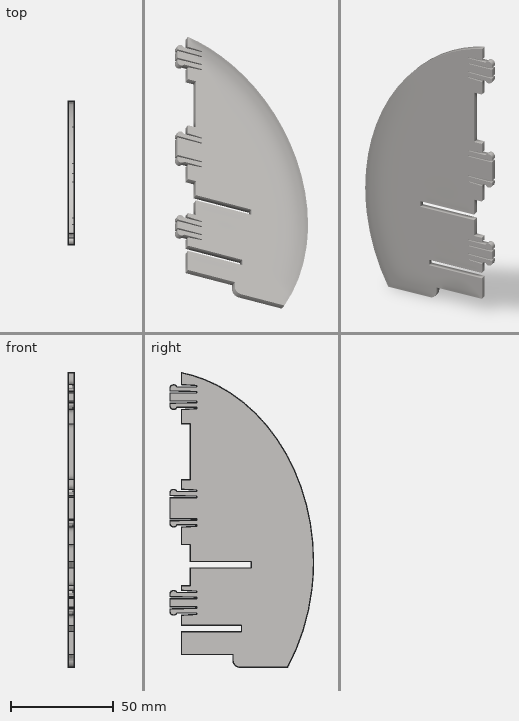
import cadquery as cq

thickness = 3.0
height = 143.2

ellipse_center_y = -7.0
ellipse_center_z = 51.3
ellipse_radius_y = 76.9
ellipse_radius_z = 93.2

shoulder_y = 5.6
recess_y = 9.9
upper_recess = (91.2, 118.3)
lower_recess = (39.7, 59.6)

foot_y = 30.6
foot_height = 6.2
foot_radius = 3.5

slots = [(39.5, 49.8), (34.8, 18.9)]

clip_root_y = 13.0
clips = [(131.3, 4.0), (77.3, 10.3), (31.4, 4.0)]
arm_inner_root = 0.65
arm_inner_tip = 0.93
arm_outer = 3.0
pocket_root = 3.6
pocket_mouth = 4.0
barb_start_y = 3.5
barb_peak_y = 1.7
barb_peak = 4.0
barb_tip = 2.3


def plate_between(y_start, y_end, z_start, z_end):
    """Rectangular piece of plate spanning the given Y and Z limits."""
    size_y = y_end - y_start
    size_z = z_end - z_start
    return cq.Workplane("XY").box(thickness, size_y, size_z, centered=False).translate((0, y_start, z_start))


def make_body():
    """Plate bounded by the ellipse, the straight side and the foot."""
    ellipse = (
        cq.Workplane("YZ")
        .center(ellipse_center_y, ellipse_center_z)
        .ellipse(ellipse_radius_y, ellipse_radius_z)
        .extrude(thickness)
    )
    far_y = ellipse_center_y + ellipse_radius_y
    upper = plate_between(shoulder_y, far_y, foot_height, height)
    foot = plate_between(foot_y, far_y, 0, foot_height)
    body = ellipse.intersect(upper.union(foot))
    body = body.faces("<Z").edges("|X").fillet(foot_radius)
    for z_start, z_end in (upper_recess, lower_recess):
        body = body.cut(plate_between(shoulder_y, recess_y, z_start, z_end))
    for end_y, middle_z in slots:
        body = body.cut(plate_between(0, end_y, middle_z - thickness / 2, middle_z + thickness / 2))
    return body


def make_clip_pocket(middle_z, tongue_width):
    """Slightly flared opening that the whole clip stands in."""
    side = tongue_width / 2
    return (
        cq.Workplane("YZ")
        .center(0, middle_z)
        .moveTo(clip_root_y, side + pocket_root)
        .lineTo(shoulder_y, side + pocket_mouth)
        .lineTo(shoulder_y, -side - pocket_mouth)
        .lineTo(clip_root_y, -side - pocket_root)
        .close()
        .extrude(thickness)
    )


def make_arm(middle_z, tongue_width, direction):
    """Barbed spring arm above (direction 1) or below (direction -1) the tongue."""
    def point(y, offset):
        return (y, direction * (tongue_width / 2 + offset))

    return (
        cq.Workplane("YZ")
        .center(0, middle_z)
        .moveTo(*point(clip_root_y, arm_inner_root))
        .lineTo(*point(clip_root_y, arm_outer))
        .lineTo(*point(barb_start_y, arm_outer))
        .threePointArc(point(barb_peak_y, barb_peak), point(0, barb_tip))
        .lineTo(*point(0, arm_inner_tip))
        .close()
        .extrude(thickness)
    )


result = make_body()
for clip_z, tongue in clips:
    result = result.cut(make_clip_pocket(clip_z, tongue))
    result = result.union(plate_between(0, clip_root_y, clip_z - tongue / 2, clip_z + tongue / 2))
    for side_direction in (1, -1):
        result = result.union(make_arm(clip_z, tongue, side_direction))